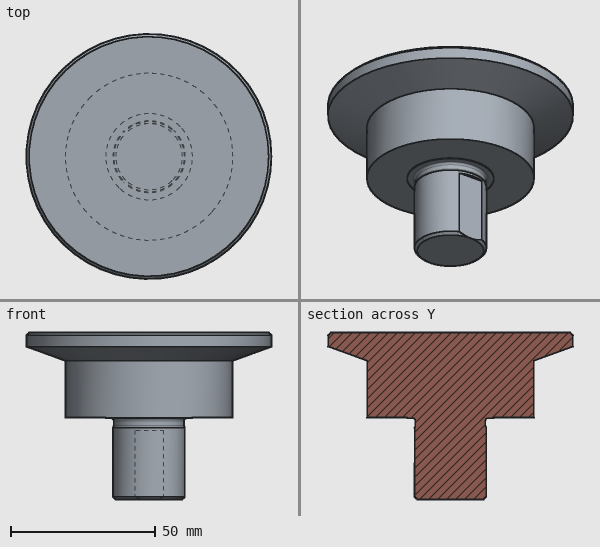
import math

import cadquery as cq

total_height = 58.0

rim_diameter = 85.0
rim_thickness = 5.0
rim_chamfer = 1.0
cone_angle = 20.0
hub_diameter = 58.0
hub_bottom_z = 28.4

collar_diameter = 30.0
collar_thickness = 0.25

shaft_diameter = 25.0
shaft_chamfer = 1.0
shaft_top_z = 25.0

groove_diameter = 24.4
groove_radius = 0.8
bevel_width = 0.1
bevel_height = 0.2

flat_distance = 11.5
flat_top_z = 24.0


def arc_point(center, angle):
    """Point on a groove rounding; the angle is in degrees from the outward direction."""
    radians = math.radians(angle)
    return (
        center[0] + groove_radius * math.cos(radians),
        center[1] + groove_radius * math.sin(radians),
    )


def make_turned_body():
    """Revolve the half section of the whole part about the Z axis."""
    rim_radius = rim_diameter / 2
    hub_radius = hub_diameter / 2
    collar_radius = collar_diameter / 2
    shaft_radius = shaft_diameter / 2

    rim_bottom_z = total_height - rim_thickness
    cone_height = (rim_radius - hub_radius) * math.tan(math.radians(cone_angle))
    cone_bottom_z = rim_bottom_z - cone_height
    collar_bottom_z = hub_bottom_z - collar_thickness

    arc_center_r = groove_diameter / 2 + groove_radius
    bevel_top = (shaft_radius - bevel_width, shaft_top_z + bevel_height)
    lower_drop_angle = math.degrees(math.acos((arc_center_r - bevel_top[0]) / groove_radius))
    lower_drop = groove_radius * math.sin(math.radians(lower_drop_angle))
    lower_center = (arc_center_r, bevel_top[1] + lower_drop)

    upper_center = (arc_center_r, collar_bottom_z - groove_radius)

    profile = (
        cq.Workplane("XZ")
        .lineTo(shaft_radius - shaft_chamfer, 0)
        .lineTo(shaft_radius, shaft_chamfer)
        .lineTo(shaft_radius, shaft_top_z)
        .lineTo(*bevel_top)
        .threePointArc(
            arc_point(lower_center, 180 + lower_drop_angle / 2),
            arc_point(lower_center, 180),
        )
        .lineTo(*arc_point(upper_center, 180))
        .threePointArc(arc_point(upper_center, 135), arc_point(upper_center, 90))
        .lineTo(collar_radius, collar_bottom_z)
        .lineTo(collar_radius, hub_bottom_z)
        .lineTo(hub_radius, hub_bottom_z)
        .lineTo(hub_radius, cone_bottom_z)
        .lineTo(rim_radius, rim_bottom_z)
        .lineTo(rim_radius, total_height - rim_chamfer)
        .lineTo(rim_radius - rim_chamfer, total_height)
        .lineTo(0, total_height)
        .close()
    )
    return profile.revolve(360, (0, 0, 0), (0, 1, 0))


def make_flat_cutter():
    """Block that removes everything on the shaft beyond the flat."""
    cutter_depth = shaft_diameter / 2
    return (
        cq.Workplane("XY")
        .center(0, flat_distance + cutter_depth / 2)
        .rect(shaft_diameter, cutter_depth)
        .extrude(flat_top_z)
    )


result = make_turned_body().cut(make_flat_cutter())